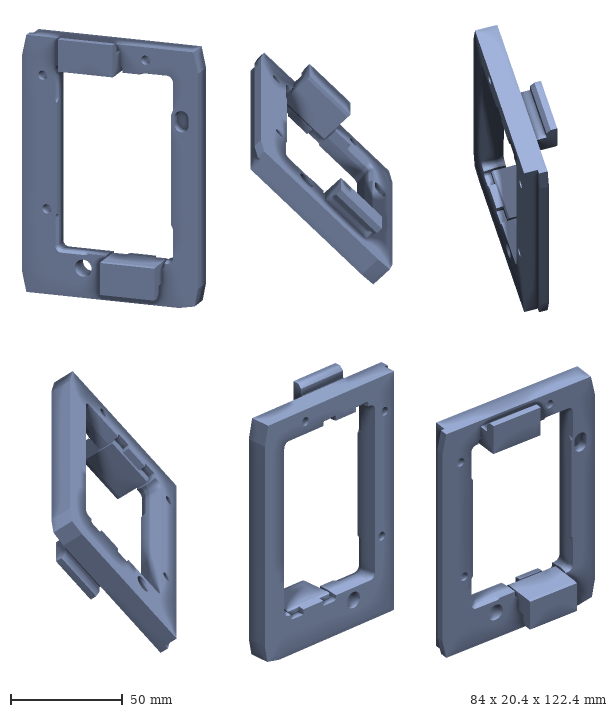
import cadquery as cq
import math

FRAME_WIDTH = 84.0
FRAME_HEIGHT = 120.0
FRAME_DEPTH = 10.4

RABBET_WIDTH = 4.0
FLANGE_THICKNESS = 4.0

BEVEL_WIDTH = 2.1
BEVEL_HEIGHT = 9.8
FOOT_BEVEL_WIDTH = 9.1
FOOT_BEVEL_HEIGHT = 1.5
FOOT_BEVEL_INSET = 1.6

CENTER_X = 44.0
CENTER_Z = 63.9
WINDOW_WIDTH = 54.5
WINDOW_HEIGHT = 86.2
WINDOW_RADIUS = 2.1
FLARE_START = 4.8
FLARE_ANGLE = 8.0

RELIEF_OFFSET = 0.8
RELIEF_DEPTH = 2.5
RELIEF_LENGTH_X = 16.9
RELIEF_LENGTH_Z = 19.0
RELIEF_RADIUS = 3.0

SMALL_HOLE = 4.3
LARGE_HOLE = 8.0
HOLES = [
    (9.9, 101.9, SMALL_HOLE),
    (59.0, 114.0, SMALL_HOLE),
    (11.9, 39.8, SMALL_HOLE),
    (29.3, 13.8, LARGE_HOLE),
]

RECESS_X = 76.2
RECESS_Z = 87.1
RECESS_WIDTH = 6.7
RECESS_LENGTH = 9.9
RECESS_DEPTH = 4.5

LATCH_SHIFT = 10.0
LATCH_WIDTH = 26.0
LATCH_PROJECTION = 10.0
LATCH_TIP = 58.5
LATCH_HEIGHT = 15.2
LATCH_INNER = LATCH_TIP - LATCH_HEIGHT
PLATE_THICKNESS = 5.0
PLATE_BACK = PLATE_THICKNESS - LATCH_PROJECTION
TIP_CHAMFER = 2.0
ARM_THICKNESS = 3.9
ARM_OUTER = LATCH_INNER + ARM_THICKNESS
ARM_BACK = 7.2
ARM_BACK_CHAMFER = 0.9
ARM_BACK_DROP = 0.6
ARM_STEP_GAP = 0.4
FRONT_SLOPE_DEPTH = 1.6
FRONT_SLOPE_DROP = 0.2

NOTCH_WIDTH = 27.9
NOTCH_FLOOR = 46.5
NOTCH_RADIUS = 1.5
ARM_CLEARANCE = 0.1
ARM_SEAT = NOTCH_FLOOR - ARM_CLEARANCE
BRIDGE_WIDTH = 12.2

BLOCK_HEIGHT = 5.8
BLOCK_OUTER = ARM_OUTER + BLOCK_HEIGHT
TONGUE_WIDTH = 13.5
TONGUE_BACK = ARM_BACK - ARM_BACK_CHAMFER

KEY_WIDTH = 3.3
KEY_DEPTH = 2.8
KEY_HEIGHT = 2.5


def box(x_range, y_range, z_range):
    """Axis-aligned box between the given limits."""
    spans = (x_range, y_range, z_range)
    size = [high - low for low, high in spans]
    corner = [low for low, high in spans]
    return cq.Workplane("XY").box(*size, centered=False).translate(tuple(corner))


def front_plane(y=0.0):
    """Workplane parallel to the front face at depth y; positive extrusion runs towards -Y."""
    return cq.Workplane("XZ", origin=(0, y, 0))


def latch_box(width, y_range, inner, outer):
    """Box centred on the lower latch, between two distances below the window centre."""
    middle = CENTER_X + LATCH_SHIFT
    x_range = (middle - width / 2, middle + width / 2)
    return box(x_range, y_range, (CENTER_Z - outer, CENTER_Z - inner))


def at_both_latches(body):
    """The lower-latch shape, and its copy turned half a turn about the window axis."""
    axis_start = (CENTER_X, 0, CENTER_Z)
    axis_end = (CENTER_X, 1, CENTER_Z)
    return [body.rotate(axis_start, axis_end, angle) for angle in (0, 180)]


def frame_blank():
    right = FRAME_WIDTH
    top = FRAME_HEIGHT
    outline = [
        (BEVEL_WIDTH, 0),
        (right - FOOT_BEVEL_WIDTH, 0),
        (right - FOOT_BEVEL_INSET, FOOT_BEVEL_HEIGHT),
        (right, BEVEL_HEIGHT),
        (right, top - BEVEL_HEIGHT),
        (right - BEVEL_WIDTH, top),
        (BEVEL_WIDTH, top),
        (0, top - BEVEL_HEIGHT),
        (0, BEVEL_HEIGHT),
    ]
    blank = front_plane().polyline(outline).close().extrude(-FRAME_DEPTH)
    rabbet = box((0, RABBET_WIDTH), (FLANGE_THICKNESS, FRAME_DEPTH), (0, top))
    return blank.cut(rabbet)


def window():
    def outline(y):
        sketch = cq.Sketch().rect(WINDOW_WIDTH, WINDOW_HEIGHT).vertices().fillet(WINDOW_RADIUS)
        return front_plane(y).center(CENTER_X, CENTER_Z).placeSketch(sketch)

    straight = outline(0).extrude(-FLARE_START)
    flare = outline(FLARE_START).extrude(FLARE_START - FRAME_DEPTH, taper=-FLARE_ANGLE)
    return straight.union(flare)


def corner_relief(side_x, side_z):
    """Tapered pad whose outer sides cut the sloped faces around one window corner."""
    reach_x = WINDOW_WIDTH / 2 + RELIEF_OFFSET - RELIEF_LENGTH_X / 2
    reach_z = WINDOW_HEIGHT / 2 + RELIEF_OFFSET - RELIEF_LENGTH_Z / 2
    slope = math.degrees(math.atan2(RELIEF_OFFSET, RELIEF_DEPTH))
    sketch = cq.Sketch().rect(RELIEF_LENGTH_X, RELIEF_LENGTH_Z).vertices().fillet(RELIEF_RADIUS)
    plane = front_plane().center(CENTER_X + side_x * reach_x, CENTER_Z + side_z * reach_z)
    return plane.placeSketch(sketch).extrude(-RELIEF_DEPTH, taper=slope)


def arm_notch():
    """Notch with rounded floor corners, stopping short of the bridge at the back."""
    notch = latch_box(NOTCH_WIDTH, (0, FRAME_DEPTH), 0, NOTCH_FLOOR)
    notch = notch.faces("<Z").edges("|Y").fillet(NOTCH_RADIUS)
    bridge = latch_box(BRIDGE_WIDTH, (ARM_BACK, FRAME_DEPTH), 0, NOTCH_FLOOR)
    return notch.cut(bridge)


def oblong_recess():
    plane = front_plane().center(RECESS_X, RECESS_Z)
    return plane.slot2D(RECESS_LENGTH, RECESS_WIDTH, 90).extrude(-RECESS_DEPTH)


def make_frame():
    frame = frame_blank().cut(window())
    for side_x in (-1, 1):
        for side_z in (-1, 1):
            frame = frame.cut(corner_relief(side_x, side_z))
    for notch in at_both_latches(arm_notch()):
        frame = frame.cut(notch)
    for x, z, diameter in HOLES:
        frame = frame.cut(front_plane().center(x, z).circle(diameter / 2).extrude(-FRAME_DEPTH))
    return frame.cut(oblong_recess())


def latch_key():
    key_back = PLATE_BACK + KEY_DEPTH
    return latch_box(KEY_WIDTH, (PLATE_BACK, key_back), BLOCK_OUTER - KEY_HEIGHT, BLOCK_OUTER)


def make_insert():
    """Block between latch plate and frame, with its tongue and its keyway."""
    block = latch_box(LATCH_WIDTH, (PLATE_BACK, 0), ARM_OUTER, BLOCK_OUTER)
    neck = latch_box(TONGUE_WIDTH, (PLATE_BACK, 0), LATCH_INNER, ARM_OUTER)
    tongue = latch_box(TONGUE_WIDTH, (PLATE_BACK, TONGUE_BACK), LATCH_INNER, ARM_SEAT)
    return block.union(neck).union(tongue).cut(latch_key())


def make_latch(insert):
    """Hook-shaped latch: plate in front, arm running back into the frame notch."""
    front = -LATCH_PROJECTION
    profile = [
        (front, LATCH_INNER + FRONT_SLOPE_DROP),
        (front + FRONT_SLOPE_DEPTH, LATCH_INNER),
        (ARM_BACK - ARM_BACK_CHAMFER, LATCH_INNER),
        (ARM_BACK, LATCH_INNER + ARM_BACK_DROP),
        (ARM_BACK, ARM_SEAT),
        (-ARM_STEP_GAP, ARM_SEAT),
        (-ARM_STEP_GAP, ARM_OUTER),
        (PLATE_BACK, ARM_OUTER),
        (PLATE_BACK, LATCH_TIP - TIP_CHAMFER),
        (PLATE_BACK - TIP_CHAMFER, LATCH_TIP),
        (front, LATCH_TIP),
    ]
    left = CENTER_X + LATCH_SHIFT - LATCH_WIDTH / 2
    points = [(y, CENTER_Z - distance) for y, distance in profile]
    hook = cq.Workplane("YZ", origin=(left, 0, 0)).polyline(points).close().extrude(LATCH_WIDTH)
    return hook.cut(insert).union(latch_key())


frame = make_frame()
insert = make_insert()
latch = make_latch(insert)
inserts = at_both_latches(insert)
latches = at_both_latches(latch)

bodies = [frame, *latches, *inserts]
result = cq.Compound.makeCompound([body.val() for body in bodies])